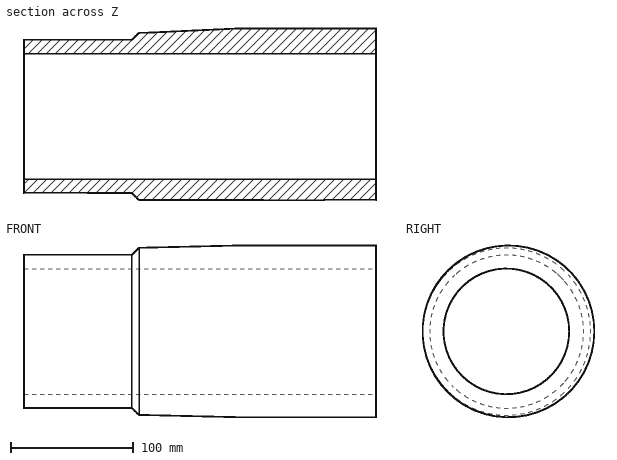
import cadquery as cq

total_length = 287.0
large_diameter = 140.0
small_diameter = 125.0
collar_diameter = 136.5
bore_diameter = 102.2
small_length = 88.0
chamfer_length = 5.7
collar_length = 5.7
large_length = 113.7

axis_offset = -(large_diameter - collar_diameter) / 2

collar_start = small_length + chamfer_length
taper_start = collar_start + collar_length
large_start = total_length - large_length


def section(x, y, diameter):
    """Circular wire across the X axis."""
    return cq.Wire.makeCircle(diameter / 2, cq.Vector(x, y, 0), cq.Vector(1, 0, 0))


def loft_between(x_start, y_start, start_diameter, x_end, y_end, end_diameter):
    """Straight-sided round body between two circular sections."""
    start = section(x_start, y_start, start_diameter)
    end = section(x_end, y_end, end_diameter)
    return cq.Workplane(obj=cq.Solid.makeLoft([start, end], True))


def tube_body(x_start, y, diameter, length):
    """Round bar along X."""
    return cq.Workplane("YZ", origin=(x_start, y, 0)).circle(diameter / 2).extrude(length)


small_end = tube_body(0, axis_offset, small_diameter, small_length)
chamfer = loft_between(
    small_length, axis_offset, small_diameter,
    collar_start, axis_offset, collar_diameter,
)
collar = tube_body(collar_start, axis_offset, collar_diameter, collar_length)
eccentric_taper = loft_between(
    taper_start, axis_offset, collar_diameter,
    large_start, 0, large_diameter,
)
large_end = tube_body(large_start, 0, large_diameter, large_length)

bore = tube_body(0, axis_offset, bore_diameter, total_length)

outside = small_end.union(chamfer).union(collar).union(eccentric_taper).union(large_end)
result = outside.cut(bore)